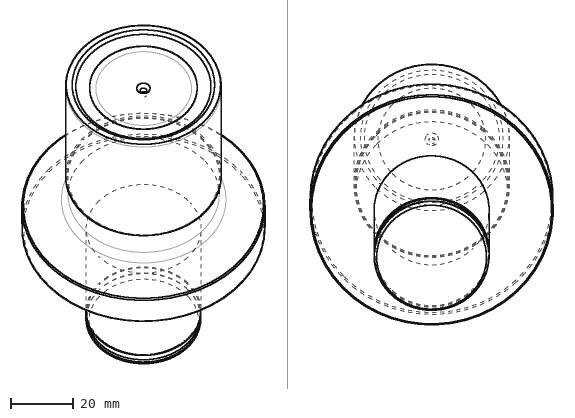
import cadquery as cq
import math

total_height = 119.0
head_bottom = 73.0
fillet_top = 64.1
flange_bottom = 46.6

head_radius = 25.0
neck_radius = 24.3
flange_radius = 38.97
shank_radius = 18.5

head_top_taper_width = 0.2
head_top_taper_height = 1.0
head_bottom_chamfer = 0.4
flange_chamfer = 0.5

shoulder_angle = math.radians(15)
neck_fillet = 2.9

groove_top = 5.1
groove_bottom = 2.5
groove_depth = 0.4
lip_top = 1.8
foot_inset = 0.8

rim_inner_radius = 22.8
dish_outer_radius = 21.7
dish_outer_depth = 0.8
dish_inner_radius = 17.3
dish_inner_depth = 1.4
dish_step = 0.1
floor_radius = 15.4
floor_depth = 1.8

countersink_radius = 2.1
countersink_depth = 1.2
pilot_radius = 1.1
pilot_depth = 3.0
drill_point_depth = 0.6


def fillet_point(angle):
    """Point on the neck fillet, at an angle below its horizontal start."""
    return (
        neck_radius + neck_fillet * (1 - math.cos(angle)),
        fillet_top - neck_fillet * math.sin(angle),
    )


def below_top(radius, depth):
    """Profile point at a depth below the rim plane."""
    return (radius, total_height - depth)


def make_body():
    """Revolve the outer profile, including the dished top face."""
    groove_radius = shank_radius - groove_depth
    fillet_sweep = math.pi / 2 - shoulder_angle
    fillet_end = fillet_point(fillet_sweep)
    shoulder_drop = (flange_radius - flange_chamfer - fillet_end[0]) * math.tan(shoulder_angle)
    shoulder_bottom = fillet_end[1] - shoulder_drop

    foot_arc_radius = (lip_top**2 + foot_inset**2) / (2 * foot_inset)
    foot_half_sweep = math.asin(lip_top / foot_arc_radius) / 2
    foot_arc_middle = (
        shank_radius - foot_arc_radius * (1 - math.cos(foot_half_sweep)),
        lip_top - foot_arc_radius * math.sin(foot_half_sweep),
    )

    profile = (
        cq.Workplane("XZ")
        .lineTo(shank_radius - foot_inset, 0)
        .threePointArc(foot_arc_middle, (shank_radius, lip_top))
        .lineTo(groove_radius, groove_bottom)
        .lineTo(groove_radius, groove_top)
        .lineTo(shank_radius, groove_top)
        .lineTo(shank_radius, flange_bottom)
        .lineTo(flange_radius - flange_chamfer, flange_bottom)
        .lineTo(flange_radius, flange_bottom + flange_chamfer)
        .lineTo(flange_radius, shoulder_bottom - flange_chamfer)
        .lineTo(flange_radius - flange_chamfer, shoulder_bottom)
        .lineTo(*fillet_end)
        .threePointArc(fillet_point(fillet_sweep / 2), (neck_radius, fillet_top))
        .lineTo(neck_radius, head_bottom)
        .lineTo(head_radius - head_bottom_chamfer, head_bottom)
        .lineTo(head_radius, head_bottom + head_bottom_chamfer)
        .lineTo(head_radius, total_height - head_top_taper_height)
        .lineTo(head_radius - head_top_taper_width, total_height)
        .lineTo(rim_inner_radius, total_height)
        .lineTo(*below_top(dish_outer_radius, dish_outer_depth))
        .lineTo(*below_top(dish_inner_radius, dish_inner_depth))
        .lineTo(*below_top(dish_inner_radius, dish_inner_depth + dish_step))
        .lineTo(*below_top(floor_radius, floor_depth))
        .lineTo(*below_top(0, floor_depth))
        .close()
    )
    return profile.revolve(360, (0, 0, 0), (0, 1, 0))


def make_centre_hole():
    """Revolve the tool that cuts the centre hole down from the dish floor."""
    pilot_bottom = floor_depth + pilot_depth
    profile = (
        cq.Workplane("XZ")
        .moveTo(*below_top(0, floor_depth))
        .lineTo(*below_top(countersink_radius, floor_depth))
        .lineTo(*below_top(pilot_radius, floor_depth + countersink_depth))
        .lineTo(*below_top(pilot_radius, pilot_bottom))
        .lineTo(*below_top(0, pilot_bottom + drill_point_depth))
        .close()
    )
    return profile.revolve(360, (0, 0, 0), (0, 1, 0))


result = make_body().cut(make_centre_hole())